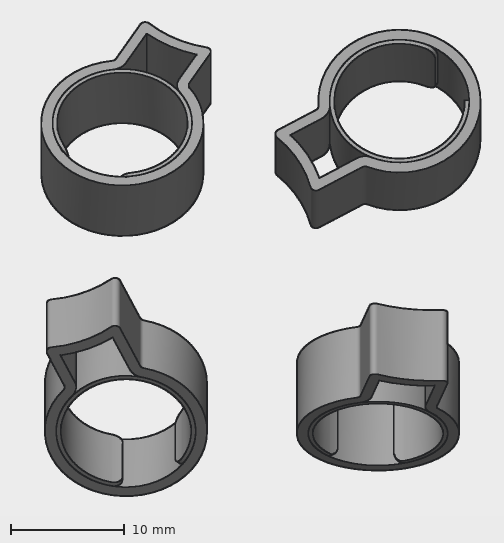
import cadquery as cq
import math

height = 7.0
ring_radius = 7.15
wall = 1.0
bore_radius = ring_radius - wall
ear_width = 7.0
ear_offset = -0.5
ear_mid_y = 10.7
ear_top_radius = 10.0
ear_corner_radius = 0.5
neck_radius = 0.5
neck_inner_radius = neck_radius + wall

liner_wall = 0.4
liner_inner_radius = bore_radius - liner_wall
gap_half_angle = 26
liner_corner_radius = 1.0


def ringed_ear(radius, width, mid_y, top_radius, neck_fillet):
    """Solid disc joined to an ear with a concave top and filleted necks."""
    half = width / 2
    left = ear_offset - half
    right = ear_offset + half
    corner_y = mid_y + top_radius - math.sqrt(top_radius**2 - half**2)
    ear = (
        cq.Workplane("XY")
        .moveTo(left, 0)
        .lineTo(left, corner_y)
        .threePointArc((ear_offset, mid_y), (right, corner_y))
        .lineTo(right, 0)
        .close()
        .extrude(height)
    )
    body = cq.Workplane("XY").circle(radius).extrude(height).union(ear)
    for x in (left, right):
        neck_y = math.sqrt(radius**2 - x**2)
        neck = cq.selectors.NearestToPointSelector((x, neck_y, height / 2))
        body = body.edges("|Z").edges(neck).fillet(neck_fillet)
    return body


def make_housing():
    outside = ringed_ear(ring_radius, ear_width, ear_mid_y, ear_top_radius, neck_radius)
    for side in (">X", "<X"):
        outer_corner = outside.edges("|Z").edges(cq.selectors.BoxSelector(
            (ear_offset - ear_width, ear_mid_y, 0),
            (ear_offset + ear_width, ear_mid_y + wall, height),
        )).edges(side)
        outside = outer_corner.fillet(ear_corner_radius)
    inside = ringed_ear(
        bore_radius, ear_width - 2 * wall, ear_mid_y - wall, ear_top_radius + wall, neck_inner_radius
    )
    return outside.cut(inside)


def make_liner():
    sleeve = cq.Workplane("XY").circle(bore_radius).circle(liner_inner_radius).extrude(height)
    reach = 2 * bore_radius
    half_gap = reach * math.tan(math.radians(gap_half_angle))
    wedge = (
        cq.Workplane("XY")
        .polyline([(0, 0), (-half_gap, -reach), (half_gap, -reach)])
        .close()
        .extrude(height)
    )
    liner = sleeve.cut(wedge)
    mid_radius = bore_radius - liner_wall / 2
    end_x = mid_radius * math.sin(math.radians(gap_half_angle))
    end_y = -mid_radius * math.cos(math.radians(gap_half_angle))
    for x in (-end_x, end_x):
        for z in (0, height):
            corner = cq.selectors.NearestToPointSelector((x, end_y, z))
            liner = liner.edges(corner).fillet(liner_corner_radius)
    return liner


housing = make_housing()
liner = make_liner()
result = cq.Compound.makeCompound([housing.solids().val(), liner.solids().val()])